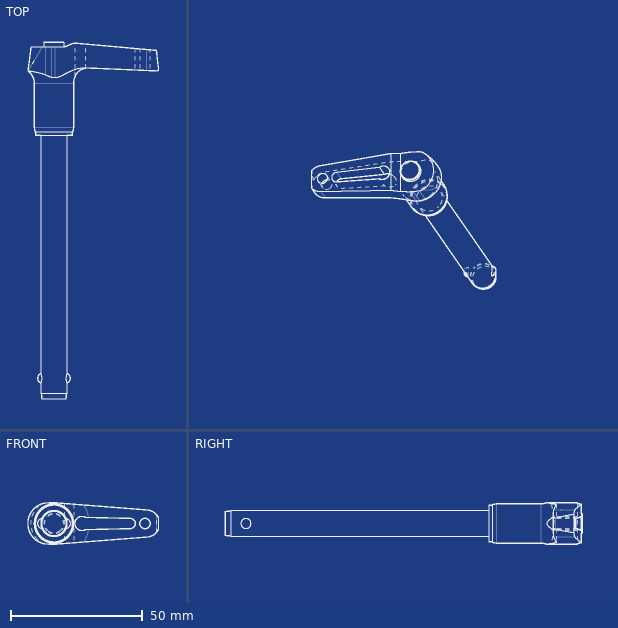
import cadquery as cq
import math


SHAFT_LENGTH = 100.0
SHAFT_RADIUS = 5.0
TIP_RADIUS = 4.6
TIP_STEP_RADIUS = 4.8
TIP_LENGTH = 2.2

BALL_RADIUS = 2.0
BALL_REACH = 6.2
BALL_FROM_TIP = 7.9

COLLAR_RADIUS = 7.5
COLLAR_TAPER_START = 2.9
COLLAR_TAPER_RADIUS = 7.25
COLLAR_LIP_HEIGHT = 1.3
COLLAR_LIP_RADIUS = 6.95
FLARE_START = 19.7

BUTTON_RADIUS = 3.85
BUTTON_TOP = 35.4
BUTTON_CHAMFER = 0.3

BOSS_TOP = 33.5
RISE_START_X = 4.0
CREST_X = 7.5
CREST_Y = 35.0
UNDERSIDE_Y = 25.5
END_X = 39.85
END_TOP_X = 38.9
END_TOP_Y = 32.2
END_UNDERSIDE_Y = 24.3
END_FILLET = 0.8

BOSS_HALF_WIDTH = 7.91
BUTT_X = -9.95
BUTT_ARC_END_X = -3.3
FLAT_START_X = -0.9
FLAT_END_X = 0.4
NOSE_START_X = 35.05
NOSE_HALF_WIDTH = 5.2
NOSE_X = 40.1

BUTT_TOP_RADIUS = 8.75
BUTT_TAPER_BASE_Y = 24.3

KEYHOLE_X = 10.6
KEYHOLE_RADIUS = 2.65
SLOT_START_HALF_WIDTH = 2.3
SLOT_END_X = 28.9
SLOT_END_RADIUS = 1.9
LANYARD_X = 34.5
LANYARD_RADIUS = 1.95

FLARE_RADIUS = UNDERSIDE_Y - FLARE_START
FLARE_OUTER_RADIUS = COLLAR_RADIUS + FLARE_RADIUS
MARGIN = 5.0


def revolve_about_pin(profile):
    """Turn a closed (radius, Y) profile a full turn about the pin axis."""
    return profile.close().revolve(360, (0, 0, 0), (0, 1, 0))


def extrude_along_y(plan):
    """Extrude a closed XZ outline from Y = 0 to above the handle."""
    return plan.extrude(-(BUTTON_TOP + MARGIN))


def make_shaft():
    tip_start = -SHAFT_LENGTH + TIP_LENGTH
    profile = (
        cq.Workplane("XY")
        .moveTo(0, -SHAFT_LENGTH)
        .lineTo(TIP_RADIUS, -SHAFT_LENGTH)
        .lineTo(TIP_STEP_RADIUS, tip_start)
        .lineTo(SHAFT_RADIUS, tip_start)
        .lineTo(SHAFT_RADIUS, FLARE_START)
        .lineTo(0, FLARE_START)
    )
    return revolve_about_pin(profile)


def make_ball(side):
    x = side * (BALL_REACH - BALL_RADIUS)
    y = -SHAFT_LENGTH + BALL_FROM_TIP
    return cq.Workplane("XY").sphere(BALL_RADIUS).translate((x, y, 0))


def make_collar():
    profile = (
        cq.Workplane("XY")
        .lineTo(COLLAR_LIP_RADIUS, 0)
        .lineTo(COLLAR_LIP_RADIUS, COLLAR_LIP_HEIGHT)
        .lineTo(COLLAR_TAPER_RADIUS, COLLAR_LIP_HEIGHT)
        .lineTo(COLLAR_RADIUS, COLLAR_TAPER_START)
        .lineTo(COLLAR_RADIUS, FLARE_START)
        .lineTo(0, FLARE_START)
    )
    return revolve_about_pin(profile)


def make_turned_body():
    """Turned lower body of the handle: concave flare, conical underside and drafted end."""
    arc_offset = FLARE_RADIUS * math.sqrt(0.5)
    arc_middle = (FLARE_OUTER_RADIUS - arc_offset, FLARE_START + arc_offset)
    profile = (
        cq.Workplane("XY")
        .moveTo(0, FLARE_START)
        .lineTo(COLLAR_RADIUS, FLARE_START)
        .threePointArc(arc_middle, (FLARE_OUTER_RADIUS, UNDERSIDE_Y))
        .lineTo(END_X, END_UNDERSIDE_Y)
        .lineTo(END_TOP_X, END_TOP_Y)
        .lineTo(END_TOP_X, CREST_Y)
        .lineTo(0, CREST_Y)
    )
    end_rim = cq.selectors.RadiusNthSelector(-1)
    return revolve_about_pin(profile).edges(end_rim).fillet(END_FILLET)


def make_top_envelope():
    """Side profile of the top of the boss and arm, larger than the handle elsewhere."""
    profile = (
        cq.Workplane("XY")
        .moveTo(BUTT_X - MARGIN, 0)
        .lineTo(END_X + MARGIN, 0)
        .lineTo(END_X + MARGIN, END_TOP_Y)
        .lineTo(END_TOP_X, END_TOP_Y)
        .lineTo(CREST_X, CREST_Y)
        .lineTo(RISE_START_X, BOSS_TOP)
        .lineTo(BUTT_X - MARGIN, BOSS_TOP)
        .close()
    )
    return profile.extrude(BOSS_HALF_WIDTH + MARGIN, both=True)


def make_plan():
    """Plan outline: round butt, short flats beside the pin, tapering arm, round nose."""
    butt_center_x = BUTT_X + BOSS_HALF_WIDTH
    butt_arc_z = math.sqrt(BOSS_HALF_WIDTH**2 - (BUTT_ARC_END_X - butt_center_x) ** 2)
    outline = (
        cq.Workplane("XZ")
        .moveTo(BUTT_ARC_END_X, butt_arc_z)
        .lineTo(FLAT_START_X, BOSS_HALF_WIDTH)
        .lineTo(FLAT_END_X, BOSS_HALF_WIDTH)
        .lineTo(NOSE_START_X, NOSE_HALF_WIDTH)
        .threePointArc((NOSE_X, 0), (NOSE_START_X, -NOSE_HALF_WIDTH))
        .lineTo(FLAT_END_X, -BOSS_HALF_WIDTH)
        .lineTo(FLAT_START_X, -BOSS_HALF_WIDTH)
        .lineTo(BUTT_ARC_END_X, -butt_arc_z)
        .threePointArc((BUTT_X, 0), (BUTT_ARC_END_X, butt_arc_z))
        .close()
    )
    return extrude_along_y(outline)


def make_butt_cutter():
    """Material outside a cone about the pin axis, on the butt side only."""
    outer_radius = -BUTT_X + MARGIN
    profile = (
        cq.Workplane("XY")
        .moveTo(-BUTT_X, BUTT_TAPER_BASE_Y)
        .lineTo(BUTT_TOP_RADIUS, BOSS_TOP)
        .lineTo(outer_radius, BOSS_TOP)
        .lineTo(outer_radius, BUTT_TAPER_BASE_Y)
    )
    arm_side = cq.Workplane("XY").box(
        2 * outer_radius, 2 * BUTTON_TOP, 2 * outer_radius, centered=(False, True, True)
    )
    return revolve_about_pin(profile).cut(arm_side)


def make_keyhole_slot():
    keyhole = extrude_along_y(cq.Workplane("XZ").center(KEYHOLE_X, 0).circle(KEYHOLE_RADIUS))
    slot = extrude_along_y(
        cq.Workplane("XZ")
        .moveTo(KEYHOLE_X, SLOT_START_HALF_WIDTH)
        .lineTo(SLOT_END_X, SLOT_END_RADIUS)
        .threePointArc((SLOT_END_X + SLOT_END_RADIUS, 0), (SLOT_END_X, -SLOT_END_RADIUS))
        .lineTo(KEYHOLE_X, -SLOT_START_HALF_WIDTH)
        .close()
    )
    return keyhole.union(slot)


def make_lanyard_hole():
    return extrude_along_y(cq.Workplane("XZ").center(LANYARD_X, 0).circle(LANYARD_RADIUS))


def make_handle():
    handle = make_turned_body().intersect(make_plan()).intersect(make_top_envelope())
    return handle.cut(make_butt_cutter()).cut(make_keyhole_slot()).cut(make_lanyard_hole())


def make_button():
    button = (
        cq.Workplane("XZ", origin=(0, UNDERSIDE_Y, 0))
        .circle(BUTTON_RADIUS)
        .extrude(-(BUTTON_TOP - UNDERSIDE_Y))
    )
    return button.faces(">Y").chamfer(BUTTON_CHAMFER)


result = make_handle().union(make_collar()).union(make_shaft()).union(make_button())
for side in (-1, 1):
    result = result.union(make_ball(side))